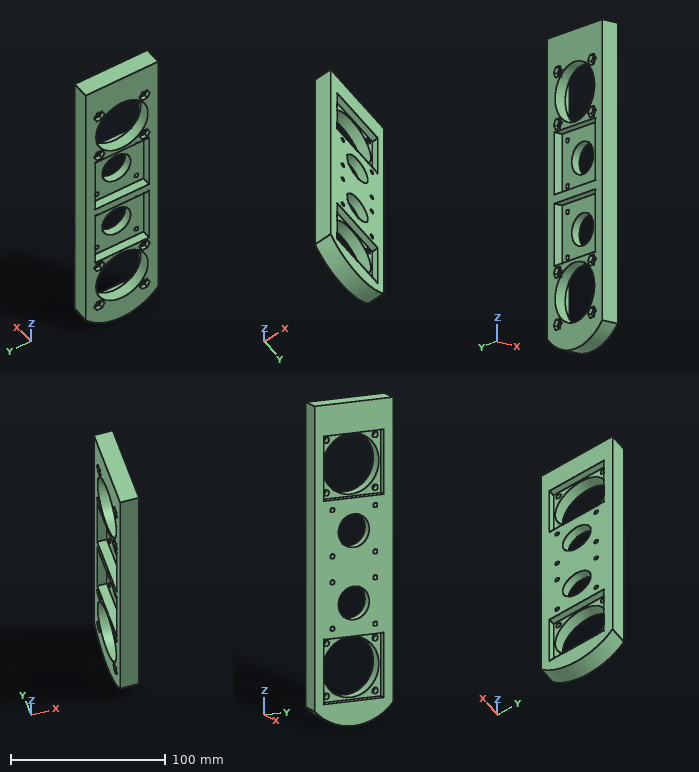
import cadquery as cq
import math

thickness = 13.0
width = 57.0
height = 216.7
end_drop = 12.8

motor_heights = (130.5, 82.1)
motor_recess_side = 42.3
motor_recess_depth = thickness / 2
shaft_hole_diameter = 22.0
motor_screw_pitch = 31.0
motor_screw_diameter = 3.0

fan_heights = (174.3, 38.4)
fan_opening_diameter = 40.5
fan_recess_side = 43.3
fan_recess_depth = 4.5
fan_screw_pitch = 35.3
fan_screw_diameter = 4.0
nut_across_flats = 7.0
nut_trap_depth = 3.0


def face_plane(x, z):
    """Plane facing +X at depth x and height z, with local axes along +Y and +Z."""
    return cq.Workplane("YZ", origin=(x, 0, z))


def corner_points(z, pitch):
    """Four points on the front face, on the corners of a square centred at height z."""
    return face_plane(0, z).rect(pitch, pitch, forConstruction=True).vertices()


def plate():
    half_width = width / 2
    return (
        face_plane(0, 0)
        .moveTo(-half_width, height)
        .lineTo(-half_width, end_drop)
        .threePointArc((0, 0), (half_width, end_drop))
        .lineTo(half_width, height)
        .close()
        .extrude(thickness)
    )


def through_hole(z, diameter):
    return face_plane(0, z).circle(diameter / 2).extrude(thickness)


def screw_holes(z, pitch, diameter):
    return corner_points(z, pitch).circle(diameter / 2).extrude(thickness)


def motor_cut(z):
    recess = face_plane(0, z).rect(motor_recess_side, motor_recess_side).extrude(motor_recess_depth)
    shaft_hole = through_hole(z, shaft_hole_diameter)
    screws = screw_holes(z, motor_screw_pitch, motor_screw_diameter)
    return recess.union(shaft_hole).union(screws)


def fan_cut(z):
    opening = through_hole(z, fan_opening_diameter)
    recess_floor = face_plane(thickness - fan_recess_depth, z)
    recess = recess_floor.rect(fan_recess_side, fan_recess_side).extrude(fan_recess_depth)
    screws = screw_holes(z, fan_screw_pitch, fan_screw_diameter)
    nut_across_corners = nut_across_flats / math.cos(math.pi / 6)
    nut_traps = corner_points(z, fan_screw_pitch).polygon(6, nut_across_corners).extrude(nut_trap_depth)
    return opening.union(recess).union(screws).union(nut_traps)


result = plate()
for motor_z in motor_heights:
    result = result.cut(motor_cut(motor_z))
for fan_z in fan_heights:
    result = result.cut(fan_cut(fan_z))